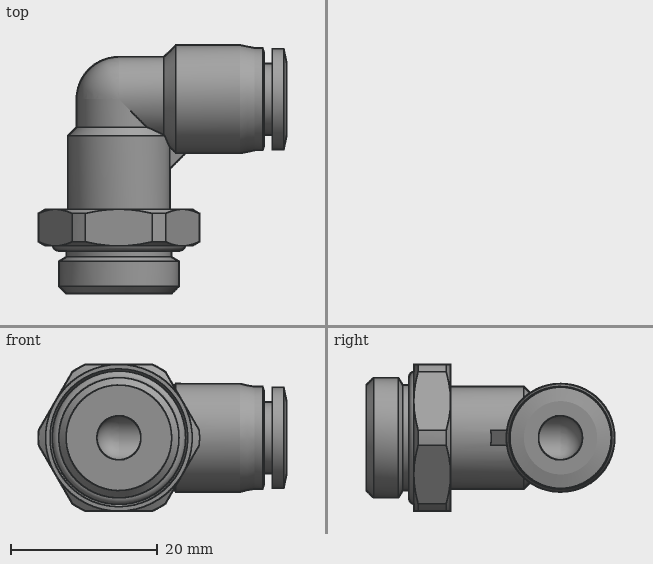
import cadquery as cq
import math


elbow_radius = 5.8
bore_radius = 3.0

shank_radius = 7.0
shank_shoulder_start = 3.8
shank_shoulder_end = shank_shoulder_start + (shank_radius - elbow_radius)
hex_top = 15.0
hex_height = 5.0
hex_bottom = hex_top + hex_height
neck_radius = 7.2
neck_end = 21.5
thread_radius = 8.2
thread_lead_in = 0.6
thread_chamfer = 1.0
stud_length = 26.5

hex_across_flats = 20.0
hex_corner_radius = 11.0
hex_chamfer_angle = 30.0
hex_face_radius = hex_across_flats / 2
hex_chamfer_height = (hex_corner_radius - hex_face_radius) * math.tan(math.radians(hex_chamfer_angle))

seal_section_radius = 0.95
seal_projection = 0.7
seal_centre_radius = neck_radius + seal_section_radius
seal_depth = hex_bottom + seal_projection - seal_section_radius
groove_mouth_radius = 9.4
groove_wall_angle = 30.0
groove_top = seal_depth - seal_section_radius
groove_depth = hex_bottom - groove_top
groove_floor_radius = groove_mouth_radius - groove_depth * math.tan(math.radians(groove_wall_angle))

socket_radius = 7.4
socket_shoulder_start = 6.12
socket_shoulder_end = 7.78
socket_taper_start = 16.53
socket_rim_start = 18.5
socket_rim_radius = 7.0
socket_chamfer_start = 19.6
socket_end = 19.8
socket_face_radius = 6.4

collar_neck_radius = 4.9
collar_flange_start = 20.9
collar_flange_radius = 6.9
collar_chamfer_start = 22.48
collar_end = 22.89
collar_face_radius = 5.0

web_thickness = 2.0
web_edge_sum = 16.45


def turned_about_y(profile):
    """Revolve (radius, depth) points around the stud axis; depth runs along -Y."""
    points = [(radius, -depth) for radius, depth in profile]
    return cq.Workplane("XY").polyline(points).close().revolve(360, (0, 0, 0), (0, 1, 0))


def turned_about_x(profile):
    """Revolve (distance, radius) points around the socket axis."""
    return cq.Workplane("XY").polyline(profile).close().revolve(360, (0, 0, 0), (1, 0, 0))


def make_stud():
    return turned_about_y([
        (0, 0),
        (elbow_radius, 0),
        (elbow_radius, shank_shoulder_start),
        (shank_radius, shank_shoulder_end),
        (shank_radius, hex_top),
        (neck_radius, hex_top),
        (neck_radius, neck_end),
        (thread_radius, neck_end + thread_lead_in),
        (thread_radius, stud_length - thread_chamfer),
        (thread_radius - thread_chamfer, stud_length),
        (0, stud_length),
    ])


def make_hexagon():
    """Hexagon with corners on X, turned to round and chamfer them, with the seal groove below."""
    prism = (
        cq.Workplane("XZ", origin=(0, -hex_top, 0))
        .polygon(6, hex_across_flats / math.cos(math.pi / 6))
        .extrude(hex_height)
    )
    blank = turned_about_y([
        (0, hex_top),
        (hex_face_radius, hex_top),
        (hex_corner_radius, hex_top + hex_chamfer_height),
        (hex_corner_radius, hex_bottom - hex_chamfer_height),
        (hex_face_radius, hex_bottom),
        (0, hex_bottom),
    ])
    groove = turned_about_y([
        (neck_radius, groove_top),
        (groove_floor_radius, groove_top),
        (groove_mouth_radius, hex_bottom),
        (neck_radius, hex_bottom),
    ])
    return prism.intersect(blank).cut(groove)


def make_socket():
    """Tube socket with the release collar at its mouth."""
    return turned_about_x([
        (0, 0),
        (0, elbow_radius),
        (socket_shoulder_start, elbow_radius),
        (socket_shoulder_end, socket_radius),
        (socket_taper_start, socket_radius),
        (socket_rim_start, socket_rim_radius),
        (socket_chamfer_start, socket_rim_radius),
        (socket_end, socket_face_radius),
        (socket_end, collar_neck_radius),
        (collar_flange_start, collar_neck_radius),
        (collar_flange_start, collar_flange_radius),
        (collar_chamfer_start, collar_flange_radius),
        (collar_end, collar_face_radius),
        (collar_end, 0),
    ])


def make_web():
    """Triangular web whose 45 degree edge runs from the shank to the socket."""
    inner_x = elbow_radius
    inner_y = -elbow_radius
    return (
        cq.Workplane("XY")
        .polyline([
            (inner_x, inner_y),
            (web_edge_sum + inner_y, inner_y),
            (inner_x, inner_x - web_edge_sum),
        ])
        .close()
        .extrude(web_thickness / 2, both=True)
    )


def make_bore():
    """Elbow passage through stud and socket, with a spherical corner."""
    stud_bore = cq.Workplane("XZ").circle(bore_radius).extrude(stud_length)
    socket_bore = cq.Workplane("YZ").circle(bore_radius).extrude(collar_end)
    return cq.Workplane("XY").sphere(bore_radius).union(stud_bore).union(socket_bore)


def make_fitting():
    corner = cq.Workplane("XY").sphere(elbow_radius)
    outside = corner.union(make_stud()).union(make_socket()).union(make_hexagon()).union(make_web())
    return outside.cut(make_bore())


def make_seal_ring():
    return (
        cq.Workplane("XY")
        .center(seal_centre_radius, -seal_depth)
        .circle(seal_section_radius)
        .revolve(360, (-seal_centre_radius, 0, 0), (-seal_centre_radius, 1, 0))
    )


fitting = make_fitting()
seal_ring = make_seal_ring()

result = cq.Compound.makeCompound([fitting.val(), seal_ring.val()])